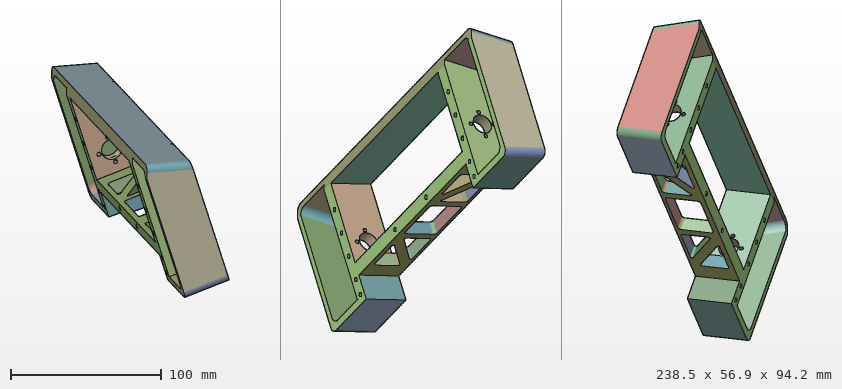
import cadquery as cq
import math

width = 238.5
height = 94.2
lean_angle = 17.5
leg_depth = 31.7
corner_radius = 4.8

outer_wall = 4.5
window_width = 32.2
leg_width = 9.3
foot_thickness = 5.0
window_roof_thickness = 5.0
window_corner_radius = 5.2

shelf_bottom = 18.4
shelf_thickness = 9.5
shelf_front_margin = 3.8
shelf_back_margin = 2.5
middle_pocket_width = 36.7
rib_width = 5.7
side_bay_width = 35.8
brace_width = 7.2
brace_angle = 37.0
brace_start_depth = 3.3
pocket_radius = 2.1
sharp_pocket_radius = 1.07

screw_diameter = 2.9
lowest_leg_screw_height = 17.7
leg_screw_pitch = 18.0
leg_screw_count = 4
foot_screw_height = 6.2
bore_diameter = 13.8
bore_height = 44.1
bore_screw_circle_radius = 9.0
bore_screw_diameter = 2.6

lean_sin = math.sin(math.radians(lean_angle))
lean_cos = math.cos(math.radians(lean_angle))
up = cq.Vector(0, -lean_sin, lean_cos)
back = cq.Vector(0, lean_cos, lean_sin)
wedge_height = leg_depth * lean_sin
bar_underside = height - wedge_height
leg_length = bar_underside / lean_cos
front_foot = cq.Vector(0, bar_underside * lean_sin / lean_cos, 0)
clearance = 2 * leg_depth
pocket_front = shelf_front_margin
pocket_rear = leg_depth - shelf_back_margin

window_outer_x = width / 2 - outer_wall
window_inner_x = window_outer_x - window_width
leg_inner_x = window_inner_x - leg_width
leg_center_x = window_inner_x - leg_width / 2
rib_center_x = (middle_pocket_width + rib_width) / 2


def leaning_point(along, depth):
    """Point at a distance along the leg and a depth behind its front face."""
    return front_foot + up * along + back * depth


def prism(points, x_min, x_max):
    """Solid with the given YZ outline between two X positions."""
    outline = [(point.y, point.z) for point in points]
    return cq.Workplane("YZ", origin=(x_min, 0, 0)).polyline(outline).close().extrude(x_max - x_min)


def level_cutter(floor, ceiling, x_min, x_max):
    """Through opening with a leaning floor and a level ceiling."""
    front = leaning_point(floor, -clearance)
    rear = leaning_point(floor, leg_depth + clearance)
    points = [front, rear, cq.Vector(0, rear.y, ceiling), cq.Vector(0, front.y, ceiling)]
    return prism(points, x_min, x_max)


def leaning_cutter(floor, ceiling):
    """Through opening between the legs with a leaning floor and ceiling."""
    points = [
        leaning_point(floor, 0),
        leaning_point(floor, leg_depth),
        leaning_point(ceiling, leg_depth),
        leaning_point(ceiling, 0),
    ]
    return prism(points, -leg_inner_x, leg_inner_x)


def round_floor_and_top(solid, radius, side=""):
    """Round the long level edges and the long leaning edges, optionally on one side only."""
    leaning = cq.selectors.ParallelDirSelector(back)
    edges = solid.edges("|Y").add(solid.edges(leaning))
    if side:
        edges = edges.edges(side)
    return edges.fillet(radius)


def make_body():
    points = [
        front_foot,
        leaning_point(0, leg_depth),
        leaning_point(leg_length, leg_depth),
        cq.Vector(0, 0, height),
        cq.Vector(0, 0, bar_underside),
    ]
    return round_floor_and_top(prism(points, -width / 2, width / 2), corner_radius)


def make_side_window():
    ceiling = height - window_roof_thickness
    window = level_cutter(foot_thickness, ceiling, window_inner_x, window_outer_x)
    return round_floor_and_top(window, window_corner_radius, ">X")


def make_center_openings():
    above_shelf = leaning_cutter(shelf_bottom + shelf_thickness, leg_length)
    below_shelf = leaning_cutter(-clearance, shelf_bottom)
    return above_shelf.union(below_shelf)


def shelf_pocket(points, radii):
    """Pocket through the shelf, outlined by X and depth, with one corner radius per point."""
    plane = cq.Plane(origin=leaning_point(shelf_bottom, 0), xDir=(1, 0, 0), normal=up)
    pocket = cq.Workplane(plane).polyline(points).close().extrude(shelf_thickness)
    for point, radius in zip(points, radii):
        corner = plane.toWorldCoords(point) + up * (shelf_thickness / 2)
        pocket = pocket.edges(cq.selectors.NearestToPointSelector(corner.toTuple())).fillet(radius)
    return pocket


def make_middle_pocket():
    x = middle_pocket_width / 2
    corners = [(-x, pocket_front), (x, pocket_front), (x, pocket_rear), (-x, pocket_rear)]
    return shelf_pocket(corners, [pocket_radius] * len(corners))


def triangle_pocket(square_corner, x_leg, depth_leg):
    """Right triangle with a generous radius in its square corner and small ones in the others."""
    x, depth = square_corner
    points = [square_corner, (x + x_leg, depth), (x, depth + depth_leg)]
    return shelf_pocket(points, [pocket_radius, sharp_pocket_radius, sharp_pocket_radius])


def make_brace_pockets():
    """Two triangles left beside the brace that crosses the bay on the +X side."""
    inner = middle_pocket_width / 2 + rib_width
    outer = inner + side_bay_width
    slope = math.tan(math.radians(brace_angle))
    brace_depth = brace_width / math.cos(math.radians(brace_angle))
    rear_depth_leg = pocket_rear - pocket_front - brace_start_depth
    front_depth_leg = side_bay_width * slope + brace_start_depth - brace_depth
    rear_pocket = triangle_pocket((inner, pocket_rear), rear_depth_leg / slope, -rear_depth_leg)
    front_pocket = triangle_pocket((outer, pocket_front), -front_depth_leg / slope, front_depth_leg)
    return rear_pocket.union(front_pocket)


def make_screw_holes():
    """Holes through the full depth of the legs, the feet and the shelf ribs."""
    heights = [foot_screw_height]
    heights += [lowest_leg_screw_height + leg_screw_pitch * i for i in range(leg_screw_count)]
    shelf_middle = shelf_bottom + shelf_thickness / 2
    points = [(rib_center_x, shelf_middle)] + [(leg_center_x, along) for along in heights]
    points += [(-x, along) for x, along in points]
    plane = cq.Plane(origin=front_foot, xDir=(1, 0, 0), normal=-back)
    return cq.Workplane(plane).pushPoints(points).circle(screw_diameter / 2).extrude(-leg_depth)


def make_bearing_bore():
    """Bore across the +X leg with four screw holes around it."""
    center = leaning_point(bore_height, leg_depth / 2) + cq.Vector(leg_inner_x, 0, 0)
    plane = cq.Plane(origin=center, xDir=-up, normal=(1, 0, 0))
    bore = cq.Workplane(plane).circle(bore_diameter / 2).extrude(leg_width)
    screws = (
        cq.Workplane(plane)
        .polarArray(bore_screw_circle_radius, 0, 360, 4)
        .circle(bore_screw_diameter / 2)
        .extrude(leg_width)
    )
    return bore.union(screws)


result = make_body().cut(make_center_openings()).cut(make_middle_pocket()).cut(make_screw_holes())
for cutter in (make_side_window(), make_brace_pockets(), make_bearing_bore()):
    result = result.cut(cutter).cut(cutter.mirror("YZ"))